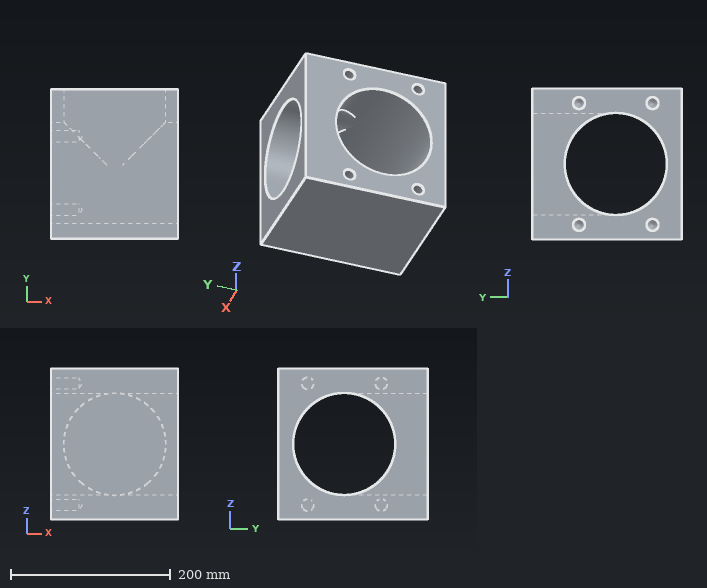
import cadquery as cq
import math

LENGTH_X = 160.0
WIDTH_Y = 188.0
HEIGHT_Z = 190.0
EDGE_CHAMFER = 1.0

BORE_DIAMETER = 127.0
BORE_CHAMFER = 1.0
BORE_TO_NEAR_SIDE = 83.0
BORE_Y = BORE_TO_NEAR_SIDE - WIDTH_Y / 2
BRANCH_X = 0.0

HOLE_DIAMETER = 14.0
HOLE_SPACING_Y = 92.1
HOLE_SPACING_Z = 152.4
HOLE_DEPTH = 35.0
HOLE_RIM_DIAMETER = 16.0
DRILL_POINT_ANGLE = 118.0

LEFT_X = -LENGTH_X / 2
RIGHT_X = LENGTH_X / 2
BACK_Y = WIDTH_Y / 2


def make_block():
    return cq.Workplane("XY").box(LENGTH_X, WIDTH_Y, HEIGHT_Z).edges().chamfer(EDGE_CHAMFER)


def cylinder(diameter, length, start, direction):
    return cq.Solid.makeCylinder(diameter / 2, length, cq.Vector(*start), cq.Vector(*direction))


def countersink(diameter, depth, start, direction):
    """45 degree chamfer at the mouth of a hole, starting on the face."""
    radius = diameter / 2
    return cq.Solid.makeCone(radius + depth, radius, depth, cq.Vector(*start), cq.Vector(*direction))


def cut_bores(body):
    left_mouth = (LEFT_X, BORE_Y, 0)
    right_mouth = (RIGHT_X, BORE_Y, 0)
    branch_mouth = (BRANCH_X, BACK_Y, 0)
    body = body.cut(cylinder(BORE_DIAMETER, LENGTH_X, left_mouth, (1, 0, 0)))
    body = body.cut(cylinder(BORE_DIAMETER, BACK_Y - BORE_Y, branch_mouth, (0, -1, 0)))
    mouths = [
        (left_mouth, (1, 0, 0)),
        (right_mouth, (-1, 0, 0)),
        (branch_mouth, (0, -1, 0)),
    ]
    for mouth, inward in mouths:
        body = body.cut(countersink(BORE_DIAMETER, BORE_CHAMFER, mouth, inward))
    return body


def cut_flange_holes(body):
    radius = HOLE_DIAMETER / 2
    rim_depth = (HOLE_RIM_DIAMETER - HOLE_DIAMETER) / 2
    point_depth = radius / math.tan(math.radians(DRILL_POINT_ANGLE / 2))
    inward = (1, 0, 0)
    for side_y in (-1, 1):
        for side_z in (-1, 1):
            y = BORE_Y + side_y * HOLE_SPACING_Y / 2
            z = side_z * HOLE_SPACING_Z / 2
            mouth = (LEFT_X, y, z)
            bottom = cq.Vector(LEFT_X + HOLE_DEPTH, y, z)
            body = body.cut(cylinder(HOLE_DIAMETER, HOLE_DEPTH, mouth, inward))
            body = body.cut(cq.Solid.makeCone(radius, 0, point_depth, bottom, cq.Vector(*inward)))
            body = body.cut(countersink(HOLE_DIAMETER, rim_depth, mouth, inward))
    return body


result = cut_flange_holes(cut_bores(make_block()))